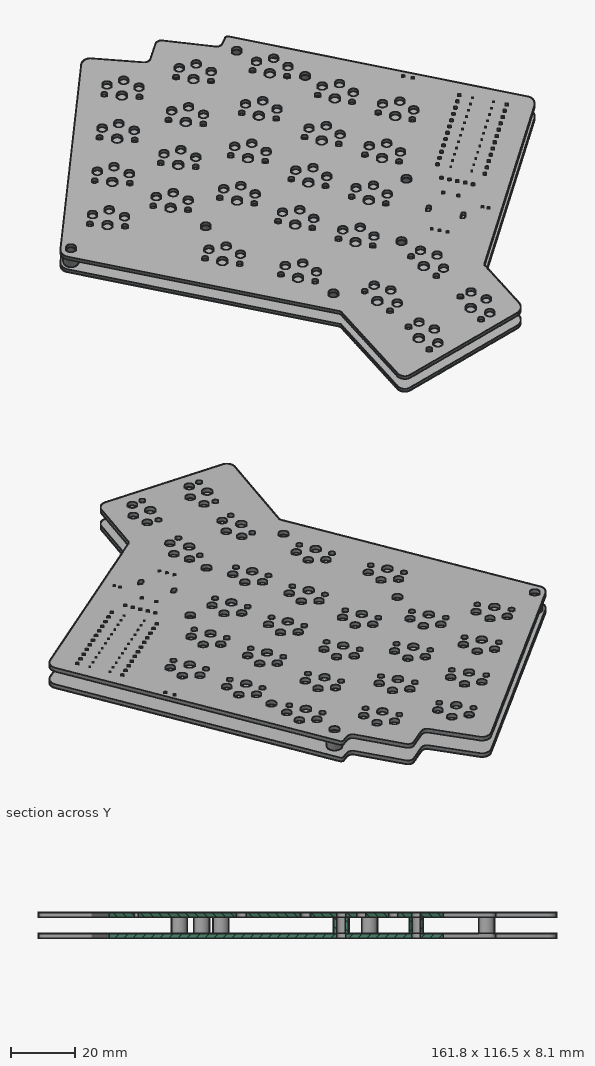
import cadquery as cq
import math


plate_thickness = 1.54
total_height = 8.1
spacer_length = total_height - 2 * plate_thickness
base_bottom = -total_height / 2
spacer_bottom = base_bottom + plate_thickness
board_bottom = spacer_bottom + spacer_length

main_radius = 2.9
step_radius = 2.0
small_radius = 1.0
outline_corners = [
    ((-81.7, 24.6), main_radius),
    ((-61.3, 30.0), step_radius),
    ((-62.2, 39.2), step_radius),
    ((-42.4, 43.4), step_radius),
    ((-42.4, 48.0), small_radius),
    ((57.1, 58.5), main_radius),
    ((64.1, -8.4), small_radius),
    ((81.9, -20.4), main_radius),
    ((55.7, -59.4), main_radius),
    ((28.3, -41.1), small_radius),
    ((-61.7, -50.5), main_radius),
]

mount_points = [
    (-37.2, 43.7),
    (-13.8, 41.8),
    (29.8, 14.7),
    (36.7, -8.7),
    (-22.7, -24.3),
    (23.8, -35.3),
    (-59.2, -46.8),
]
mount_hole_diameter = 3.2
spacer_diameter = 5.0
spacer_bore = 3.0

key_pitch = 17.0
keys_per_column = 4
key_columns = [
    ((-58.3, -9.7), 15),
    ((-40.8, 3.7), 12),
    ((-20.7, 13.8), 8.5),
    ((0.6, 11.3), 6),
    ((20.7, 11.3), 6),
]
thumb_keys = [
    ((-13.1, -35.3), 9),
    ((11.3, -33.3), 6),
    ((37.7, -33.3), -24),
    ((46.6, -15.5), -24),
    ((54.9, -42.5), -34),
    ((66.0, -25.9), -34),
]

key_centre_diameter = 3.4
key_contact_diameter = 3.0
key_peg_diameter = 2.0
peg_offset = 5.5
side_contact_x = 5.0
side_contact_y = 3.7
top_contact_y = 6.0
key_contacts = [(-side_contact_x, side_contact_y), (0, top_contact_y), (side_contact_x, side_contact_y)]
key_pegs = [(-peg_offset, 0), (peg_offset, 0)]

board_tilt = 6
pin_pitch = 2.54
pad_hole_diameter = 1.0

controller_centre = (43.0, 38.2)
controller_rows = 12
controller_row_spacing = 15.2
inner_row_spacing = 6.8
inner_hole_diameter = 0.4

display_centre = (45.0, 19.5)
display_pins = 5

switch_centre = (44.8, 14.0)
switch_pin_spacing = 4.9
switch_hole_diameter = 0.9

battery_centre = (56.8, 12.8)
battery_pin_spacing = 2.0
battery_hole_diameter = 0.75

button_centre = (16.5, 52.5)
button_pin_spacing = 3.0
button_hole_diameter = 0.9

slider_centre = (46.5, -0.6)
slider_pins = 3
slider_hole_diameter = 0.75

slot_centre = (45.8, 6.8)
slot_spacing = 11.2
slot_length = 2.5
slot_width = 1.5


def place(points, origin, angle):
    """Turn local points by an angle in degrees, then move them to an origin."""
    cosine = math.cos(math.radians(angle))
    sine = math.sin(math.radians(angle))
    return [(origin[0] + x * cosine - y * sine, origin[1] + x * sine + y * cosine) for x, y in points]


def row(count, pitch):
    """Evenly spaced offsets centred on zero."""
    return [(i - (count - 1) / 2) * pitch for i in range(count)]


def pin_row(count, pitch, centre):
    """A line of pins parallel to the top edge."""
    return place([(x, 0) for x in row(count, pitch)], centre, board_tilt)


def controller_pins(row_spacing):
    """Two long rows of controller pins, one on each side of its middle line."""
    pins = [(x, y) for x in row(2, row_spacing) for y in row(controller_rows, pin_pitch)]
    return place(pins, controller_centre, board_tilt)


def key_positions():
    """The middle and tilt of every key."""
    column_keys = [(0, y) for y in row(keys_per_column, key_pitch)]
    keys = list(thumb_keys)
    for middle, tilt in key_columns:
        keys += [(position, tilt) for position in place(column_keys, middle, tilt)]
    return keys


def add_holes(profile, points, diameter):
    """Add round holes to a flat plate profile."""
    return profile.pushPoints(points).circle(diameter / 2)


def plate_profile(bottom):
    """The sharp-cornered plate outline with its mounting holes, at a given height."""
    corners = [corner for corner, _ in outline_corners]
    profile = cq.Workplane("XY").workplane(offset=bottom).polyline(corners).close()
    return add_holes(profile, mount_points, mount_hole_diameter)


def add_key_holes(profile):
    centres = []
    contacts = []
    pegs = []
    for position, tilt in key_positions():
        centres.append(position)
        contacts += place(key_contacts, position, tilt)
        pegs += place(key_pegs, position, tilt)
    profile = add_holes(profile, centres, key_centre_diameter)
    profile = add_holes(profile, contacts, key_contact_diameter)
    return add_holes(profile, pegs, key_peg_diameter)


def add_electronics_holes(profile):
    display = pin_row(display_pins, pin_pitch, display_centre)
    profile = add_holes(profile, controller_pins(controller_row_spacing) + display, pad_hole_diameter)
    profile = add_holes(profile, controller_pins(inner_row_spacing), inner_hole_diameter)
    profile = add_holes(profile, pin_row(2, switch_pin_spacing, switch_centre), switch_hole_diameter)
    profile = add_holes(profile, pin_row(2, battery_pin_spacing, battery_centre), battery_hole_diameter)
    profile = add_holes(profile, pin_row(2, button_pin_spacing, button_centre), button_hole_diameter)
    profile = add_holes(profile, pin_row(slider_pins, pin_pitch, slider_centre), slider_hole_diameter)
    slots = profile.pushPoints(pin_row(2, slot_spacing, slot_centre))
    return slots.slot2D(slot_length, slot_width, 90 + board_tilt)


def make_plate(profile, bottom):
    """Give a profile its thickness and round its corners."""
    plate = profile.extrude(plate_thickness)
    middle = bottom + plate_thickness / 2
    for (x, y), radius in outline_corners:
        plate = plate.edges(cq.NearestToPointSelector((x, y, middle))).fillet(radius)
    return plate


def make_spacer(position):
    """A tube between the two plates."""
    tube = cq.Workplane("XY").workplane(offset=spacer_bottom).center(*position)
    return tube.circle(spacer_diameter / 2).circle(spacer_bore / 2).extrude(spacer_length)


base_plate = make_plate(plate_profile(base_bottom), base_bottom)
board_profile = add_electronics_holes(add_key_holes(plate_profile(board_bottom)))
circuit_board = make_plate(board_profile, board_bottom)
spacers = [make_spacer(position) for position in mount_points]

result = cq.Compound.makeCompound(
    [base_plate.val(), circuit_board.val(), *[spacer.val() for spacer in spacers]]
)